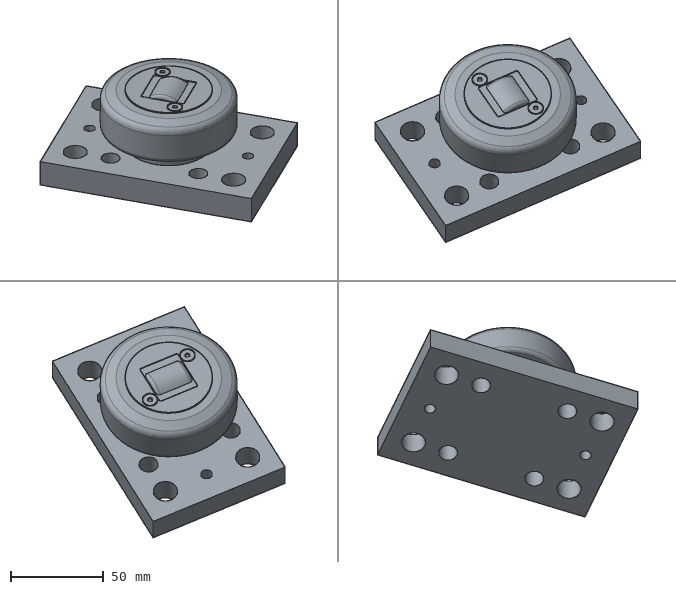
import cadquery as cq
import math

plate_length = 120.0
plate_width = 80.0
plate_height = 15.0
corner_hole_diameter = 13.0
inner_hole_diameter = 10.1
dowel_hole_diameter = 6.0
hole_row_y = 25.0
inner_hole_x = 25.0
outer_hole_x = 45.0

pin_diameter = 48.0
cap_diameter = 47.3
stem_top = 25.0
pin_top = 49.0
stem_chamfer = (pin_diameter - cap_diameter) / 2
cap_chamfer = 0.2

ring_diameter = 74.0
ring_bottom = 25.3
ring_top = 48.4
ring_flat_diameter = 56.9
crown_angle = math.radians(17)
crown_fillet = 4.0
ring_bottom_fillet = 2.2

overall_height = 51.0
pocket_length_x = 24.4
pocket_length_y = 22.9
pocket_corner = 1.0
pocket_depth = 0.6
roller_width = 16.0
roller_length = 22.1
roller_radius = 13.3
roller_end_fillet = 1.9
roller_embedding = 1.8

screw_x = 8.6
screw_y = 15.7
screw_bore_diameter = 8.4
screw_head_diameter = 7.8
screw_socket_diameter = 2.5
groove_depth = 0.4
socket_depth = 1.2


def make_plate():
    plate = cq.Workplane("XY").box(plate_length, plate_width, plate_height, centered=(True, True, False))
    for diameter, spacing_x in (
        (corner_hole_diameter, outer_hole_x),
        (inner_hole_diameter, inner_hole_x),
    ):
        plate = (
            plate.faces(">Z").workplane(origin=(0, 0, plate_height))
            .rect(2 * spacing_x, 2 * hole_row_y, forConstruction=True)
            .vertices()
            .hole(diameter)
        )
    return (
        plate.faces(">Z").workplane(origin=(0, 0, plate_height))
        .pushPoints([(-outer_hole_x, 0), (outer_hole_x, 0)])
        .hole(dowel_hole_diameter)
    )


def make_pin():
    """Stem chamfered at both ends, with a slightly narrower cap that shows above the ring."""
    stem = (
        cq.Workplane("XY")
        .workplane(offset=plate_height)
        .circle(pin_diameter / 2)
        .extrude(stem_top - plate_height)
        .edges()
        .chamfer(stem_chamfer)
    )
    cap = (
        cq.Workplane("XY")
        .workplane(offset=stem_top)
        .circle(cap_diameter / 2)
        .extrude(pin_top - stem_top)
        .faces(">Z")
        .chamfer(cap_chamfer)
    )
    return stem.union(cap)


def make_ring():
    radius = ring_diameter / 2
    flat_radius = ring_flat_diameter / 2
    shoulder = ring_top - (radius - flat_radius) * math.tan(crown_angle)
    ring = (
        cq.Workplane("XZ")
        .moveTo(0, ring_bottom)
        .lineTo(radius, ring_bottom)
        .lineTo(radius, shoulder)
        .lineTo(flat_radius, ring_top)
        .lineTo(0, ring_top)
        .close()
        .revolve(360, (0, 0, 0), (0, 1, 0))
    )
    outer_edges = ring.edges(cq.selectors.RadiusNthSelector(-1))
    ring = outer_edges.edges(">Z").fillet(crown_fillet)
    return ring.faces("<Z").edges().fillet(ring_bottom_fillet)


def make_pocket():
    return (
        cq.Workplane("XY")
        .workplane(offset=pin_top - pocket_depth)
        .rect(pocket_length_x, pocket_length_y)
        .extrude(pocket_depth)
        .edges("|Z")
        .fillet(pocket_corner)
    )


def make_roller():
    """Domed segment of a cylinder along Y, with rounded ends, embedded in the pocket floor."""
    base = pin_top - pocket_depth - roller_embedding
    half_width = roller_width / 2
    side_top = overall_height - roller_radius + math.sqrt(roller_radius**2 - half_width**2)
    return (
        cq.Workplane("XZ")
        .moveTo(-half_width, base)
        .lineTo(-half_width, side_top)
        .threePointArc((0, overall_height), (half_width, side_top))
        .lineTo(half_width, base)
        .close()
        .extrude(roller_length / 2, both=True)
        .faces(cq.selectors.NearestToPointSelector((0, 0, overall_height)))
        .edges("%CIRCLE")
        .fillet(roller_end_fillet)
    )


def make_screw_cuts():
    """Narrow groove around each flush screw head, and the socket in its middle."""
    screw_centers = (
        cq.Workplane("XY")
        .workplane(offset=pin_top)
        .pushPoints([(-screw_x, screw_y), (screw_x, -screw_y)])
    )
    bores = screw_centers.circle(screw_bore_diameter / 2).extrude(-groove_depth)
    heads = screw_centers.circle(screw_head_diameter / 2).extrude(-groove_depth)
    sockets = screw_centers.circle(screw_socket_diameter / 2).extrude(-socket_depth)
    return bores.cut(heads).union(sockets)


body = make_plate().union(make_pin()).union(make_ring())
body = body.cut(make_pocket()).cut(make_screw_cuts())
result = body.union(make_roller())